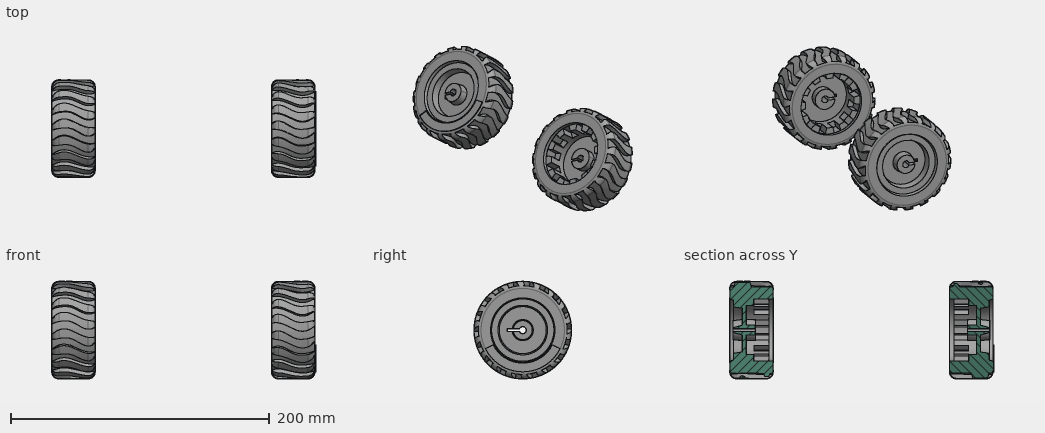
import cadquery as cq
import math

OVERALL_LENGTH = 204.0
TIRE_DIAMETER = 75.5
WHEEL_WIDTH = 33.7
BAND_HEIGHT = 0.6

TIRE_RADIUS = TIRE_DIAMETER / 2
LEFT_FACE_X = -OVERALL_LENGTH / 2
RIGHT_FACE_X = OVERALL_LENGTH / 2 - BAND_HEIGHT

SHOULDER_RADIUS = 5.5
SIDEWALL_RADIUS = TIRE_RADIUS - SHOULDER_RADIUS
RIM_RADIUS = 24.9

GROOVE_COUNT = 18
GROOVE_PITCH = 360 / GROOVE_COUNT
GROOVE_DEPTH = 3.5
CUTTER_CLEARANCE = 2.0
GROOVE_UPPER_EDGE = [
    (-18.0, 3.5), (-13.9, 6.0), (-9.2, 7.0), (-3.7, 7.0), (2.0, 4.7), (10.2, 0.8), (13.5, 0.8), (18.0, 4.9),
]
GROOVE_LOWER_EDGE = [
    (18.0, -4.7), (12.2, -5.7), (9.2, -5.0), (2.0, -2.0), (-5.5, 0.8), (-10.6, 0.5), (-13.9, -1.2), (-18.0, -4.0),
]

STEP_DEPTH = 2.9
STEP_FLOOR_RADIUS = 24.0
DISH_RADIUS = 38.4 / 2
DISH_FLOOR_RADIUS = 18.2
DISH_DEPTH = 9.5

LUG_SETBACK = 3.5
NOTCH_DEPTH = 14.9
CAVITY_RADIUS = 20.0
CAVITY_DEPTH = 20.8
NOTCH_COUNT = 12
NOTCH_WIDTH = 5.5
NOTCH_TOP = 24.7
NOTCH_START = 18.4
FIRST_NOTCH_ANGLE = 15.0

HUB_RADIUS = 8.2
HUB_TIP_RADIUS = 7.3
HUB_OUTER_SETBACK = 2.5
HUB_INNER_SETBACK = 13.9
BORE_DIAMETER = 5.3
KEY_SLOT_REACH = 11.8
KEY_SLOT_WIDTH = 1.8

BAND_INNER_RADIUS = 25.5
BAND_HALF_ANGLE = 63.5


def disc(start_x, end_x, radius):
    """Cylinder around the X axis from start_x to end_x."""
    return cq.Workplane("YZ").workplane(offset=start_x).circle(radius).extrude(end_x - start_x)


def taper(start_x, start_radius, end_x, end_radius):
    """Cone frustum around the X axis between two radii."""
    return (
        cq.Workplane("XY")
        .polyline([(start_x, 0), (start_x, start_radius), (end_x, end_radius), (end_x, 0)])
        .close()
        .revolve(360, (0, 0), (1, 0))
    )


def groove_cutter():
    """Wavy bar on the -Y side of the tire whose underside is the cylindrical groove floor."""
    bar = (
        cq.Workplane("XZ", origin=(WHEEL_WIDTH / 2, 0, 0))
        .moveTo(*GROOVE_UPPER_EDGE[0])
        .spline(GROOVE_UPPER_EDGE[1:], includeCurrent=True)
        .lineTo(*GROOVE_LOWER_EDGE[0])
        .spline(GROOVE_LOWER_EDGE[1:], includeCurrent=True)
        .close()
        .extrude(TIRE_RADIUS + CUTTER_CLEARANCE)
    )
    floor = disc(-CUTTER_CLEARANCE, WHEEL_WIDTH + CUTTER_CLEARANCE, TIRE_RADIUS - GROOVE_DEPTH)
    return bar.cut(floor)


def tire_blank():
    """Solid tire with rounded shoulders and wavy tread grooves."""
    blank = disc(0, WHEEL_WIDTH, TIRE_RADIUS).edges("%CIRCLE").fillet(SHOULDER_RADIUS)
    cutter = groove_cutter()
    for index in range(GROOVE_COUNT):
        blank = blank.cut(cutter.rotate((0, 0, 0), (1, 0, 0), index * GROOVE_PITCH))
    return blank


def outer_recess():
    """Shallow rim step followed by the deeper dish."""
    step = taper(0, RIM_RADIUS, STEP_DEPTH, STEP_FLOOR_RADIUS)
    return step.union(taper(STEP_DEPTH, DISH_RADIUS, DISH_DEPTH, DISH_FLOOR_RADIUS))


def inner_recess():
    """Rim step followed by the deep cavity."""
    step = disc(WHEEL_WIDTH - LUG_SETBACK, WHEEL_WIDTH, RIM_RADIUS)
    return step.union(disc(WHEEL_WIDTH - CAVITY_DEPTH, WHEEL_WIDTH, CAVITY_RADIUS))


def cut_notches(body):
    """Cut the ring of flat-bottomed notches that leaves lugs between them."""
    notch = cq.Workplane("XY").box(
        NOTCH_DEPTH - LUG_SETBACK, NOTCH_TOP - NOTCH_START, NOTCH_WIDTH, centered=(False, False, True)
    ).translate((WHEEL_WIDTH - NOTCH_DEPTH, NOTCH_START, 0))
    for index in range(NOTCH_COUNT):
        angle = FIRST_NOTCH_ANGLE + index * 360 / NOTCH_COUNT
        body = body.cut(notch.rotate((0, 0, 0), (1, 0, 0), angle))
    return body


def hub_opening():
    """Through bore with a key slot running toward -Y."""
    slot = cq.Workplane("XY").box(
        WHEEL_WIDTH, KEY_SLOT_REACH, KEY_SLOT_WIDTH, centered=(False, False, True)
    ).translate((0, -KEY_SLOT_REACH, 0))
    return disc(0, WHEEL_WIDTH, BORE_DIAMETER / 2).union(slot)


def make_wheel():
    """Wheel with its outer face on X = 0 and its inner face toward +X."""
    outer_hub = taper(HUB_OUTER_SETBACK, HUB_TIP_RADIUS, DISH_DEPTH, HUB_RADIUS)
    hub = outer_hub.union(disc(DISH_DEPTH, WHEEL_WIDTH - HUB_INNER_SETBACK, HUB_RADIUS))
    hollow = cut_notches(tire_blank().cut(outer_recess()).cut(inner_recess()))
    return hollow.union(hub).cut(hub_opening())


def sidewall_band():
    """Raised arc on the lower part of the +X wheel's outer sidewall."""
    def point(radius, angle):
        return radius * math.sin(math.radians(angle)), -radius * math.cos(math.radians(angle))

    return (
        cq.Workplane("YZ", origin=(RIGHT_FACE_X, 0, 0))
        .moveTo(*point(SIDEWALL_RADIUS, -BAND_HALF_ANGLE))
        .threePointArc(point(SIDEWALL_RADIUS, 0), point(SIDEWALL_RADIUS, BAND_HALF_ANGLE))
        .lineTo(*point(BAND_INNER_RADIUS, BAND_HALF_ANGLE))
        .threePointArc(point(BAND_INNER_RADIUS, 0), point(BAND_INNER_RADIUS, -BAND_HALF_ANGLE))
        .close()
        .extrude(BAND_HEIGHT)
    )


wheel = make_wheel()
left_wheel = wheel.translate((LEFT_FACE_X, 0, 0))
right_wheel = wheel.rotate((0, 0, 0), (0, 1, 0), 180).translate((RIGHT_FACE_X, 0, 0)).union(sidewall_band())

result = cq.Compound.makeCompound([left_wheel.val(), right_wheel.val()])